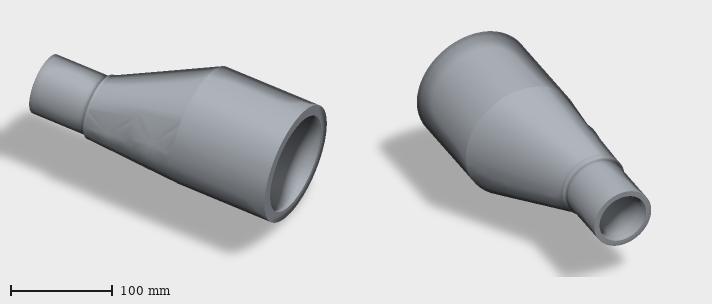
import cadquery as cq

total_length = 268.0
large_diameter = 125.0
small_diameter = 63.0
collar_diameter = 68.5
large_bore = 102.0
small_bore = 51.5

spigot_end = 60.0
collar_start = 63.0
cone_start = 65.5
cone_end = 162.5

small_axis_y = -(large_diameter - collar_diameter) / 2


def section(x, axis_y, diameter):
    """Circle across the pipe at station x."""
    plane = cq.Plane(origin=(x, axis_y, 0), xDir=(0, 1, 0), normal=(1, 0, 0))
    return cq.Workplane(plane).circle(diameter / 2)


def tube(start, end, axis_y, diameter):
    """Straight cylinder between two stations."""
    return section(start, axis_y, diameter).extrude(end - start)


def cone(start, start_y, start_diameter, end, end_y, end_diameter):
    """Ruled transition between two circles, which may be offset in Y."""
    first = section(start, start_y, start_diameter).wires().val()
    last = section(end, end_y, end_diameter).wires().val()
    return cq.Workplane(cq.Solid.makeLoft([first, last], True))


outside = (
    tube(0, spigot_end, small_axis_y, small_diameter)
    .union(cone(spigot_end, small_axis_y, small_diameter, collar_start, small_axis_y, collar_diameter))
    .union(tube(collar_start, cone_start, small_axis_y, collar_diameter))
    .union(cone(cone_start, small_axis_y, collar_diameter, cone_end, 0, large_diameter))
    .union(tube(cone_end, total_length, 0, large_diameter))
)

bore = (
    tube(0, cone_start, small_axis_y, small_bore)
    .union(cone(cone_start, small_axis_y, small_bore, cone_end, 0, large_bore))
    .union(tube(cone_end, total_length, 0, large_bore))
)

result = outside.cut(bore)